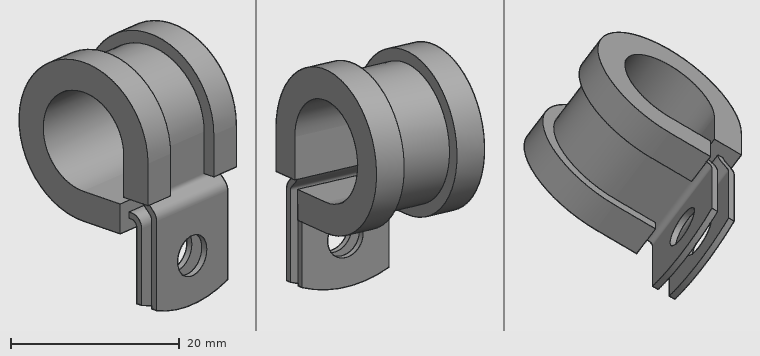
import cadquery as cq
import math

outer_radius = 10.22
inner_radius = 6.37
clamp_width = 15.75
side_leg_length = 5.35
bottom_leg_length = 5.82

groove_width = 7.7
groove_radius = 8.68

strap_thickness = 0.8
tab_width = 12.68
bend_radius = 1.5 * strap_thickness
strap_radius = groove_radius - strap_thickness / 2
jog_angle = math.radians(45)
inner_tab_x = 7.45
outer_tab_x = outer_radius - strap_thickness / 2

tab_bottom = -20.55
tab_end_rise = 1.23
hole_diameter = 5.17
hole_z = -14.25


def open_loop(radius, width):
    """Open ring with a straight leg at each end, centred on Y = 0."""
    outer_diagonal = radius * math.sqrt(0.5)
    inner_diagonal = inner_radius * math.sqrt(0.5)
    return (
        cq.Workplane("XZ")
        .moveTo(bottom_leg_length, -inner_radius)
        .lineTo(bottom_leg_length, -radius)
        .lineTo(0, -radius)
        .threePointArc((-outer_diagonal, outer_diagonal), (radius, 0))
        .lineTo(radius, -side_leg_length)
        .lineTo(inner_radius, -side_leg_length)
        .lineTo(inner_radius, 0)
        .threePointArc((-inner_diagonal, inner_diagonal), (0, -inner_radius))
        .close()
        .extrude(width / 2, both=True)
    )


def loop():
    """Full-width cushion with a groove around its outside."""
    groove = open_loop(outer_radius, groove_width).cut(open_loop(groove_radius, groove_width))
    return open_loop(outer_radius, clamp_width).cut(groove)


def inner_strap():
    """Strap leaving the bottom leg and turning down through a right angle."""
    start_x = bottom_leg_length - strap_thickness
    path = (
        cq.Workplane("XZ")
        .moveTo(start_x, -strap_radius)
        .lineTo(inner_tab_x - bend_radius, -strap_radius)
        .tangentArcPoint((bend_radius, -bend_radius))
        .lineTo(inner_tab_x, tab_bottom)
    )
    section = cq.Workplane("YZ", origin=(start_x, 0, -strap_radius)).rect(tab_width, strap_thickness)
    return section.sweep(path)


def outer_strap():
    """Strap leaving the side leg and jogging outward through two equal bends."""
    bend_shift = bend_radius * (1 - math.cos(jog_angle))
    bend_drop = bend_radius * math.sin(jog_angle)
    slope_shift = outer_tab_x - strap_radius - 2 * bend_shift
    slope_drop = slope_shift / math.tan(jog_angle)
    jog_top = -side_leg_length
    start_z = jog_top + strap_thickness
    path = (
        cq.Workplane("XZ")
        .moveTo(strap_radius, start_z)
        .lineTo(strap_radius, jog_top)
        .tangentArcPoint((bend_shift, -bend_drop))
        .line(slope_shift, -slope_drop)
        .tangentArcPoint((bend_shift, -bend_drop))
        .lineTo(outer_tab_x, tab_bottom)
    )
    section = cq.Workplane("XY", origin=(strap_radius, 0, start_z)).rect(strap_thickness, tab_width)
    return section.sweep(path)


def tab_outline():
    """Prism along X that gives both tabs their curved lower end."""
    corner_z = tab_bottom + tab_end_rise
    return (
        cq.Workplane("YZ")
        .moveTo(-tab_width / 2, 0)
        .lineTo(-tab_width / 2, corner_z)
        .threePointArc((0, tab_bottom), (tab_width / 2, corner_z))
        .lineTo(tab_width / 2, 0)
        .close()
        .extrude(outer_radius)
    )


def finished_tab(strap):
    """Trim a strap end to the tab outline and pierce the bolt hole."""
    hole = cq.Workplane("YZ").center(0, hole_z).circle(hole_diameter / 2).extrude(outer_radius)
    return strap.intersect(tab_outline()).cut(hole)


result = loop()
for strap in (inner_strap(), outer_strap()):
    result = result.union(finished_tab(strap))